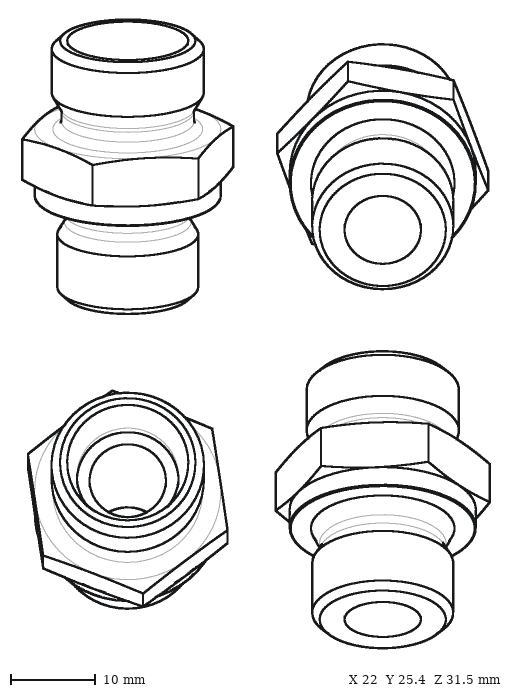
import cadquery as cq
import math

TOTAL_HEIGHT = 31.5
THREAD_RELIEF_ANGLE = math.radians(30)

ACROSS_FLATS = 22.0
HEX_TOP = 20.5
HEX_BOTTOM = 14.55
HEX_CHAMFER_ANGLE = math.radians(15)
COLLAR_RADIUS = ACROSS_FLATS / 2
COLLAR_BOTTOM = 12.1
COLLAR_EDGE_CHAMFER = 0.13

UPPER_RADIUS = 18.0 / 2
UPPER_CHAMFER = 1.0
UPPER_THREAD_BOTTOM = 25.05
UPPER_NECK_RADIUS = 15.7 / 2
UPPER_NECK_TOP = 22.75
UPPER_RELIEF_FILLET = 1.0
UPPER_ROOT_FILLET = 1.0

LOWER_RADIUS = 16.65 / 2
LOWER_CHAMFER = 0.88
LOWER_THREAD_TOP = 7.45
LOWER_RELIEF_TOP = 8.95
GROOVE_ARC_TOP = 10.05
GROOVE_MOUTH_RADIUS = 8.47

BORE_RADIUS = 9.0 / 2
SOCKET_RADIUS = 12.0 / 2
SOCKET_MOUTH_RADIUS = 7.15
SOCKET_TAPER_ANGLE = math.radians(12)
SOCKET_DEPTH = 7.0


def make_turned_body():
    """Revolve the outside profile: both threads, their necks and the collar."""
    relief_slope = math.tan(THREAD_RELIEF_ANGLE)

    blend_end_z = UPPER_NECK_TOP + UPPER_RELIEF_FILLET * math.sin(THREAD_RELIEF_ANGLE)
    blend_end_r = UPPER_NECK_RADIUS + UPPER_RELIEF_FILLET * (1 - math.cos(THREAD_RELIEF_ANGLE))
    blend_mid_z = UPPER_NECK_TOP + UPPER_RELIEF_FILLET * math.sin(THREAD_RELIEF_ANGLE / 2)
    blend_mid_r = UPPER_NECK_RADIUS + UPPER_RELIEF_FILLET * (1 - math.cos(THREAD_RELIEF_ANGLE / 2))

    root_mid_offset = UPPER_ROOT_FILLET * (1 - math.sqrt(0.5))

    groove_radius = LOWER_RADIUS - (LOWER_RELIEF_TOP - LOWER_THREAD_TOP) * relief_slope
    groove_half_height = (GROOVE_ARC_TOP - LOWER_RELIEF_TOP) / 2
    groove_sag = groove_half_height * math.tan(THREAD_RELIEF_ANGLE / 2)

    return (
        cq.Workplane("XZ")
        .lineTo(LOWER_RADIUS - LOWER_CHAMFER, 0)
        .lineTo(LOWER_RADIUS, LOWER_CHAMFER)
        .lineTo(LOWER_RADIUS, LOWER_THREAD_TOP)
        .lineTo(groove_radius, LOWER_RELIEF_TOP)
        .threePointArc(
            (groove_radius - groove_sag, LOWER_RELIEF_TOP + groove_half_height),
            (groove_radius, GROOVE_ARC_TOP),
        )
        .lineTo(GROOVE_MOUTH_RADIUS, COLLAR_BOTTOM)
        .lineTo(COLLAR_RADIUS - COLLAR_EDGE_CHAMFER, COLLAR_BOTTOM)
        .lineTo(COLLAR_RADIUS, COLLAR_BOTTOM + COLLAR_EDGE_CHAMFER)
        .lineTo(COLLAR_RADIUS, HEX_TOP)
        .lineTo(UPPER_NECK_RADIUS + UPPER_ROOT_FILLET, HEX_TOP)
        .threePointArc(
            (UPPER_NECK_RADIUS + root_mid_offset, HEX_TOP + root_mid_offset),
            (UPPER_NECK_RADIUS, HEX_TOP + UPPER_ROOT_FILLET),
        )
        .lineTo(UPPER_NECK_RADIUS, UPPER_NECK_TOP)
        .threePointArc((blend_mid_r, blend_mid_z), (blend_end_r, blend_end_z))
        .lineTo(UPPER_RADIUS, UPPER_THREAD_BOTTOM)
        .lineTo(UPPER_RADIUS, TOTAL_HEIGHT - UPPER_CHAMFER)
        .lineTo(UPPER_RADIUS - UPPER_CHAMFER, TOTAL_HEIGHT)
        .lineTo(0, TOTAL_HEIGHT)
        .close()
        .revolve(360, (0, 0), (0, 1))
    )


def make_hexagon():
    """Hexagon with corners on Y, its corners turned off conically at both ends."""
    corner_radius = ACROSS_FLATS / math.sqrt(3)
    chamfer_drop = (corner_radius - COLLAR_RADIUS) * math.tan(HEX_CHAMFER_ANGLE)
    prism = (
        cq.Workplane("XY", origin=(0, 0, HEX_BOTTOM))
        .polygon(6, 2 * corner_radius)
        .extrude(HEX_TOP - HEX_BOTTOM)
        .rotate((0, 0, 0), (0, 0, 1), 30)
    )
    envelope = (
        cq.Workplane("XZ")
        .moveTo(0, HEX_BOTTOM)
        .lineTo(COLLAR_RADIUS, HEX_BOTTOM)
        .lineTo(corner_radius, HEX_BOTTOM + chamfer_drop)
        .lineTo(corner_radius, HEX_TOP - chamfer_drop)
        .lineTo(COLLAR_RADIUS, HEX_TOP)
        .lineTo(0, HEX_TOP)
        .close()
        .revolve(360, (0, 0), (0, 1))
    )
    return prism.intersect(envelope)


def make_bore():
    """Through bore with a stepped, conically opening socket at the top."""
    taper_length = (SOCKET_MOUTH_RADIUS - SOCKET_RADIUS) / math.tan(SOCKET_TAPER_ANGLE)
    shoulder_z = TOTAL_HEIGHT - SOCKET_DEPTH
    return (
        cq.Workplane("XZ")
        .lineTo(BORE_RADIUS, 0)
        .lineTo(BORE_RADIUS, shoulder_z)
        .lineTo(SOCKET_RADIUS, shoulder_z)
        .lineTo(SOCKET_RADIUS, TOTAL_HEIGHT - taper_length)
        .lineTo(SOCKET_MOUTH_RADIUS, TOTAL_HEIGHT)
        .lineTo(0, TOTAL_HEIGHT)
        .close()
        .revolve(360, (0, 0), (0, 1))
    )


result = make_turned_body().union(make_hexagon()).cut(make_bore())